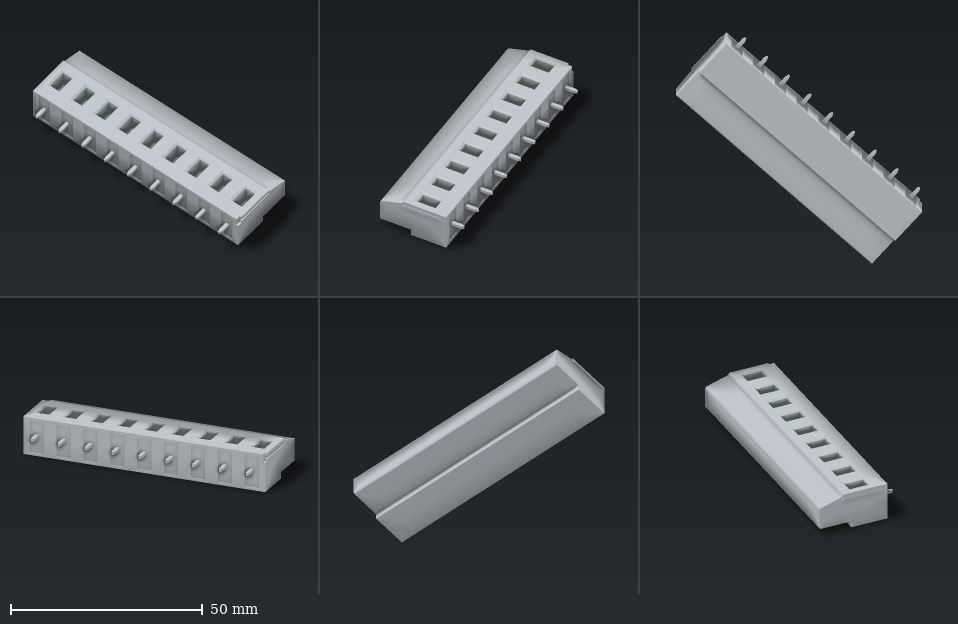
import cadquery as cq


total_length = 69.2
height = 10.5
pole_count = 9
rail_width = 0.4
nub_height = 0.15
body_length = total_length - rail_width - nub_height
pitch = body_length / pole_count

total_depth = 23.0
pin_length = 3.3
body_depth = total_depth - pin_length
base_depth = 10.45
ledge_z = 1.8
slope_back_z = 7.95
slope_front_z = height - 0.6
deck_depth = 13.1
deck_draft = 0.35
back_chamfer = 0.3

strip_depth = 1.45
rail_bottom_z = height - 1.65
rail_outer_z = height - 0.8
rail_inner_z = height - 1.05
groove_width = 0.55
groove_inner_z = height - 0.6
notch_width = 0.6
notch_depth = 2.3

well_length = 4.2
well_width = 6.65
well_center_y = 7.1
well_depth = 5.5
well_bevel = 0.59
well_bevel_depth = 0.4

window_length = 4.0
window_height = 9.0
window_depth = 0.35

pin_width = 1.0
pin_height = 0.8
pin_z = 5.5
pin_taper_length = 0.75
pin_tip_width = 0.4

nub_radius = 0.105
nub_y = 12.5
nub_z = 3.4

pole_positions = [(pole + 0.5) * pitch for pole in range(pole_count)]


def make_housing():
    profile = [
        (0, 0),
        (base_depth, 0),
        (base_depth, ledge_z),
        (body_depth, ledge_z),
        (body_depth, slope_back_z),
        (deck_depth, slope_front_z),
        (deck_depth - deck_draft, height),
        (0, height),
    ]
    housing = cq.Workplane("YZ").polyline(profile).close().extrude(body_length)
    return housing.faces(">Y").edges("|X").chamfer(back_chamfer)


def make_bar_along_y(section, y_start, y_end):
    """Extrude an X-Z section from y_start to y_end."""
    return cq.Workplane("XZ", origin=(0, y_start, 0)).polyline(section).close().extrude(y_start - y_end)


def make_rail():
    section = [
        (0, rail_bottom_z),
        (-rail_width, rail_bottom_z),
        (-rail_width, rail_outer_z),
        (0, rail_inner_z),
    ]
    return make_bar_along_y(section, strip_depth, deck_depth)


def make_groove():
    inner_x = body_length - groove_width
    section = [
        (body_length, rail_bottom_z),
        (inner_x, rail_bottom_z),
        (inner_x, groove_inner_z),
        (body_length, rail_inner_z),
    ]
    return make_bar_along_y(section, strip_depth, deck_depth)


def make_notch():
    """Corner relief in the front strip that lets a rail slide into the groove."""
    corner = (body_length - notch_width, 0, height - notch_depth)
    return cq.Workplane("XY").box(notch_width, strip_depth, notch_depth, centered=False).translate(corner)


def make_well(x):
    mouth = cq.Workplane("XY", origin=(x, well_center_y, height))
    shaft_length = well_length - 2 * well_bevel
    shaft_width = well_width - 2 * well_bevel
    shaft = mouth.rect(shaft_length, shaft_width).extrude(-well_depth)
    bevel = (
        mouth.rect(well_length, well_width)
        .workplane(offset=-well_bevel_depth)
        .rect(shaft_length, shaft_width)
        .loft(ruled=True)
    )
    return shaft.union(bevel)


def make_window(x):
    front = cq.Workplane("XZ", origin=(x, 0, height / 2))
    return front.rect(window_length, window_height).extrude(-window_depth)


def make_pin(x):
    half_width = pin_width / 2
    half_tip = pin_tip_width / 2
    shoulder_y = pin_taper_length - pin_length
    outline = [
        (-half_width, window_depth),
        (-half_width, shoulder_y),
        (-half_tip, -pin_length),
        (half_tip, -pin_length),
        (half_width, shoulder_y),
        (half_width, window_depth),
    ]
    base = cq.Workplane("XY", origin=(x, 0, pin_z - pin_height / 2))
    return base.polyline(outline).close().extrude(pin_height)


def make_nub():
    end_face = cq.Workplane("YZ", origin=(body_length, nub_y, nub_z))
    return end_face.circle(nub_radius).extrude(nub_height)


result = make_housing().union(make_rail()).union(make_nub())
result = result.cut(make_groove()).cut(make_notch())
for position in pole_positions:
    result = result.cut(make_well(position)).cut(make_window(position))
    result = result.union(make_pin(position))